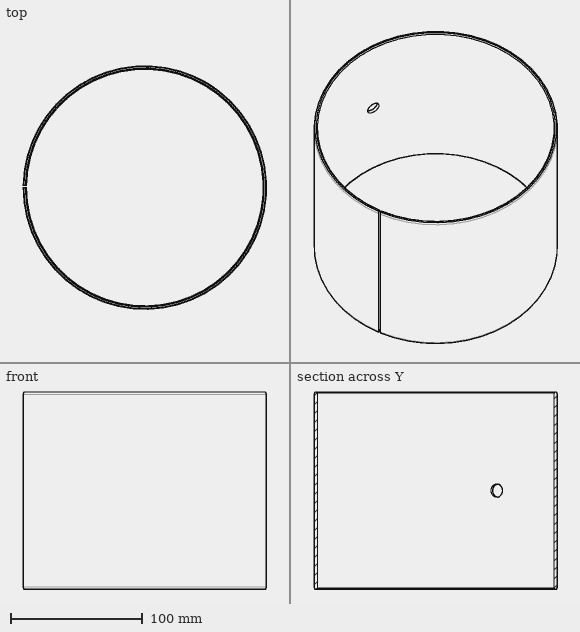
import cadquery as cq
import math

outer_diameter = 185.0
height = 150.0
wall = 2.5
outer_bevel_width = 0.5
outer_bevel_height = 1.8
inner_bevel = 1.0
slit_angle = 1.0
slit_start_angle = 179.0
hole_diameter = 10.0
hole_angle = 59.0

outer_radius = outer_diameter / 2
inner_radius = outer_radius - wall
half_height = height / 2


def make_split_ring():
    """Revolve the wall section, bevelled at both rims, almost all the way round."""
    bevel_start = half_height - outer_bevel_height
    inner_bevel_start = half_height - inner_bevel
    rim_outer_radius = outer_radius - outer_bevel_width
    rim_inner_radius = inner_radius + inner_bevel
    section = (
        cq.Workplane("XZ")
        .moveTo(inner_radius, -inner_bevel_start)
        .lineTo(rim_inner_radius, -half_height)
        .lineTo(rim_outer_radius, -half_height)
        .lineTo(outer_radius, -bevel_start)
        .lineTo(outer_radius, bevel_start)
        .lineTo(rim_outer_radius, half_height)
        .lineTo(rim_inner_radius, half_height)
        .lineTo(inner_radius, inner_bevel_start)
        .close()
    )
    ring = section.revolve(360 - slit_angle, (0, 0, 0), (0, -1, 0))
    return ring.rotate((0, 0, 0), (0, 0, 1), slit_start_angle)


def make_hole_cutter():
    """Radial pin through one side of the wall at mid height."""
    angle = math.radians(hole_angle)
    direction = cq.Vector(math.cos(angle), math.sin(angle), 0)
    return cq.Solid.makeCylinder(hole_diameter / 2, outer_diameter, cq.Vector(0, 0, 0), direction)


result = make_split_ring().cut(cq.Workplane(obj=make_hole_cutter()))